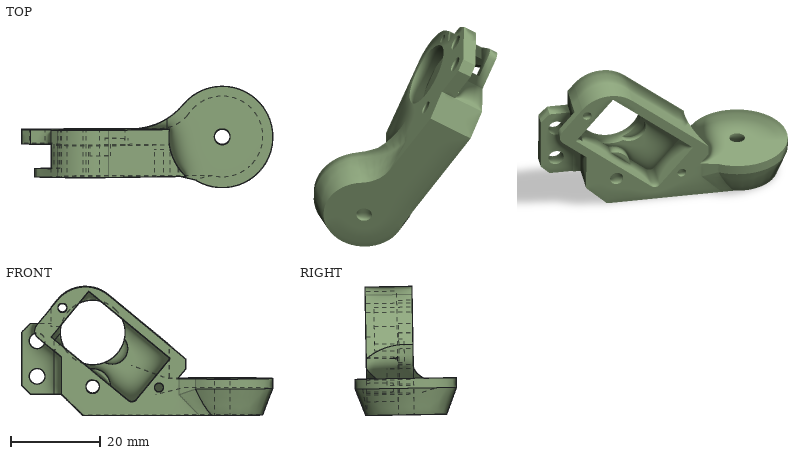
import cadquery as cq
import math


disc_radius = 11.4
disc_top = 8.22
rim_height = 2.22
disc_base_radius = 9.1
disc_bore_dia = 3.5
clearance_radius = 12.0

back_y = 1.8
front_y = -8.8
base_left_x = -36.05
base_corner_z = 4.65
base_chamfer = 4.75
base_right_x = -9.7
base_left_top_z = 13.1

servo_angle = 39.5
pocket_end_x = -34.2
pocket_end_z = 22.75
pocket_length = 23.7
pocket_width = 13.25
pocket_depth = 7.1
pocket_corner_radius = 1.3
flange_start_u = -4.2
flange_end_u = 27.87
flange_low_v = -8.65
flange_high_v = 8.8
top_corner_radius = 8.1
low_corner_radius = 2.0
flange_thickness = 1.95

screw_dia = 2.0
screw_offset = 2.2
blind_screw_depth = 6.0
shaft_hole_dia = 14.5
gear_recess_radius = 3.5
gear_recess_u = 12.3
gear_recess_depth = 1.5

boss_x = -29.1
boss_z = 6.45
boss_radius = 4.0
boss_height = 2.5
boss_hole_dia = 3.0

plate_left_x = -45.08
plate_top_z = 20.55
plate_thickness = 3.2
plate_front_y = back_y - plate_thickness
plate_chamfer = 2.0
plate_hole_dia = 3.5
plate_hole_x = -41.58
plate_hole_z = (8.68, 16.65)
strip_left_x = -37.75
strip_thickness = 0.3
strip_end_u = 1.1

slot_wall_x = -38.43
slot_roof_z = 19.95
slot_end_u = 2.55
slot_clearance = 0.01

back_blend_radius = 15.0
back_foot_radius = 8.0
back_blend_top_z = 11.1
back_blend_slope = 20.0
back_blend_low_z = 3.3
front_blend_low_z = 4.7
front_blend_tangent_x = -6.0
front_blend_foot_x = -5.1
front_blend_end_x = -2.3

part_tilt = 1.0
reach = 60.0
overlap = 1.0

cos_a = math.cos(math.radians(servo_angle))
sin_a = math.sin(math.radians(servo_angle))


def servo_point(u, v):
    """X, Z of a point given along (u) and across (v) the tilted servo."""
    return (pocket_end_x + u * cos_a + v * sin_a, pocket_end_z - u * sin_a + v * cos_a)


def profile_xz(points, y_start, y_end):
    """Solid with an X-Z outline between two Y positions."""
    plane = cq.Workplane("XZ", origin=(0, y_end, 0))
    return plane.polyline(points).close().extrude(y_end - y_start)


def rod_y(x, z, radius, y_start, y_end):
    """Cylinder along Y."""
    plane = cq.Workplane("XZ", origin=(0, y_end, 0))
    return plane.center(x, z).circle(radius).extrude(y_end - y_start)


def servo_block(u_start, u_end, v_low, v_high, y_start, y_end):
    """Box aligned with the tilted servo."""
    corners = [(u_start, v_low), (u_end, v_low), (u_end, v_high), (u_start, v_high)]
    return profile_xz([servo_point(u, v) for u, v in corners], y_start, y_end)


def edge_at(u, v):
    """Selector for the Y-parallel edge nearest a servo-frame point."""
    x, z = servo_point(u, v)
    return cq.selectors.NearestToPointSelector((x, (front_y + back_y) / 2, z))


def blend_arc(disc_r, blend_r):
    """Start, middle and end (X, Y) of an arc joining the back face to a disc of radius disc_r."""
    centre_y = back_y + blend_r
    start_x = -math.sqrt((disc_r + blend_r) ** 2 - centre_y**2)
    share = disc_r / (disc_r + blend_r)
    half_turn = math.atan2(-start_x, centre_y) / 2
    middle = (start_x + blend_r * math.sin(half_turn), centre_y - blend_r * math.cos(half_turn))
    return (start_x, back_y), middle, (start_x * share, centre_y * share)


def blend_outline(start, middle, end, inner):
    """Closed wire from start to end (an arc when middle is given) and back by an inner point."""
    points = [cq.Vector(*p) for p in (start, end, inner)]
    if middle:
        outer = cq.Edge.makeThreePointArc(points[0], cq.Vector(*middle), points[1])
    else:
        outer = cq.Edge.makeLine(points[0], points[1])
    sides = [cq.Edge.makeLine(points[1], points[2]), cq.Edge.makeLine(points[2], points[0])]
    return cq.Wire.assembleEdges([outer, *sides])


def make_blend(rim, foot, low_z, top_z):
    """Upright wall above a sloping rim, with a tapered side from the rim down to the foot.

    rim and foot each hold the start, middle (or None), end and inner (X, Y) points. The rim
    climbs along X from low_z at its start to the bottom of the disc rim at its end.
    """
    slope = (disc_top - rim_height - low_z) / (rim[2][0] - rim[0][0])

    def on_rim(point):
        return point and (*point, low_z + slope * (point[0] - rim[0][0]))

    def on_floor(point):
        return point and (*point, 0)

    rim_wire = blend_outline(*[on_rim(p) for p in rim])
    foot_wire = blend_outline(*[on_floor(p) for p in foot])
    skirt = cq.Workplane(cq.Solid.makeLoft([foot_wire, rim_wire], True))
    rim_face = cq.Face.makeFromWires(rim_wire)
    wall = cq.Workplane(cq.Solid.extrudeLinear(rim_face, cq.Vector(0, 0, reach)))
    above = cq.Workplane("XY", origin=(0, 0, top_z)).rect(2 * reach, 2 * reach).extrude(2 * reach)
    return skirt.union(wall.cut(above))


def make_disc():
    side = [
        (0, 0),
        (disc_base_radius, 0),
        (disc_radius, disc_top - rim_height),
        (disc_radius, disc_top),
        (0, disc_top),
    ]
    return cq.Workplane("XZ").polyline(side).close().revolve(360, (0, 0, 0), (0, 1, 0))


def make_body():
    frame = servo_block(flange_start_u, flange_end_u, flange_low_v, flange_high_v, front_y, back_y)
    frame = frame.edges(edge_at(flange_start_u, flange_high_v)).fillet(top_corner_radius)
    frame = frame.edges(edge_at(flange_start_u, flange_low_v)).fillet(low_corner_radius)
    base = profile_xz(
        [
            (base_left_x, base_left_top_z),
            (base_left_x, base_corner_z),
            (base_left_x + base_chamfer, 0),
            (front_blend_end_x, 0),
            (front_blend_end_x, disc_top),
            (base_right_x, disc_top),
            servo_point(pocket_length / 2, 0),
        ],
        front_y,
        back_y,
    )
    clearance = cq.Workplane("XY", origin=(0, 0, disc_top)).circle(clearance_radius).extrude(reach)
    below_base = cq.Workplane("XY").rect(2 * reach, 2 * reach).extrude(-reach)
    return frame.union(base).cut(clearance).cut(below_base)


def make_back_blend():
    rim_arc = blend_arc(disc_radius, back_blend_radius)
    foot_arc = blend_arc(disc_base_radius, back_foot_radius)
    start_x = rim_arc[0][0]
    blend = make_blend(
        (*rim_arc, (rim_arc[2][0], 0)), (*foot_arc, (foot_arc[2][0], 0)), back_blend_low_z, back_blend_top_z
    )
    slope_run = (back_blend_top_z - disc_top) / math.tan(math.radians(back_blend_slope))
    roof = (
        cq.Workplane("XZ")
        .polyline(
            [
                (start_x, back_blend_top_z),
                (start_x + slope_run, disc_top),
                (0, disc_top),
                (0, back_blend_top_z),
            ]
        )
        .close()
        .extrude(reach, both=True)
    )
    return blend.cut(roof)


def make_front_blend():
    tangent = (front_blend_tangent_x, -math.sqrt(disc_radius**2 - front_blend_tangent_x**2))
    rim = ((base_right_x, front_y), None, tangent, (front_blend_tangent_x, front_y / 2))
    foot = (
        (front_blend_foot_x, front_y),
        None,
        (front_blend_end_x, front_y),
        (front_blend_end_x, front_y / 2),
    )
    return make_blend(rim, foot, front_blend_low_z, disc_top)


def make_plate():
    plate_right_x = base_left_x + overlap
    plate = profile_xz(
        [
            (plate_right_x, plate_top_z),
            (plate_left_x + plate_chamfer, plate_top_z),
            (plate_left_x, plate_top_z - plate_chamfer),
            (plate_left_x, base_corner_z + plate_chamfer),
            (plate_left_x + plate_chamfer, base_corner_z),
            (plate_right_x, base_corner_z),
        ],
        plate_front_y,
        back_y,
    )
    bend_v = (strip_left_x - pocket_end_x - strip_end_u * cos_a) / sin_a
    strip = profile_xz(
        [
            (strip_left_x, base_corner_z),
            (plate_right_x, base_corner_z),
            servo_point(slot_end_u, -pocket_width / 2),
            servo_point(slot_end_u, 0),
            servo_point(strip_end_u, 0),
            servo_point(strip_end_u, bend_v),
        ],
        plate_front_y - strip_thickness,
        plate_front_y,
    )
    plate = plate.union(strip)
    for z in plate_hole_z:
        plate = plate.cut(rod_y(plate_hole_x, z, plate_hole_dia / 2, plate_front_y, back_y))
    return plate


def make_pocket():
    floor_y = front_y + pocket_depth
    half = pocket_width / 2
    pocket = servo_block(0, pocket_length, -half, half, front_y, floor_y)
    pocket = pocket.edges(edge_at(pocket_length, -half)).fillet(pocket_corner_radius)
    boss = rod_y(boss_x, boss_z, boss_radius, floor_y - boss_height, floor_y)
    return pocket.cut(boss)


def make_slot():
    left_x = 2 * plate_left_x
    slot_front_y = front_y + flange_thickness
    side_opening = profile_xz(
        [
            (left_x, reach),
            (slot_wall_x, reach),
            (slot_wall_x, base_left_top_z),
            (left_x, base_left_top_z),
        ],
        slot_front_y,
        back_y,
    )
    passage = profile_xz(
        [
            (slot_wall_x, slot_roof_z),
            (pocket_end_x, slot_roof_z),
            servo_point(slot_end_u, overlap - pocket_width / 2),
            servo_point(slot_end_u, flange_low_v - slot_clearance),
            (slot_wall_x, base_left_top_z),
        ],
        slot_front_y,
        plate_front_y,
    )
    return side_opening.union(passage)


def make_servo_holes():
    floor_y = front_y + pocket_depth
    holes = rod_y(*servo_point(pocket_width / 2, 0), shaft_hole_dia / 2, floor_y, back_y)
    recess = rod_y(*servo_point(gear_recess_u, 0), gear_recess_radius, floor_y, floor_y + gear_recess_depth)
    start_screw = rod_y(*servo_point(-screw_offset, 0), screw_dia / 2, front_y, back_y)
    end_screw = rod_y(
        *servo_point(pocket_length + screw_offset, 0), screw_dia / 2, front_y, front_y + blind_screw_depth
    )
    boss_hole = rod_y(boss_x, boss_z, boss_hole_dia / 2, front_y, back_y)
    return holes.union(recess).union(start_screw).union(end_screw).union(boss_hole)


bore = cq.Workplane("XY").circle(disc_bore_dia / 2).extrude(disc_top)
body = make_body().cut(make_slot()).union(make_plate()).cut(make_pocket()).cut(make_servo_holes())
part = body.union(make_disc()).union(make_back_blend()).union(make_front_blend()).cut(bore)
result = part.rotate((0, 0, 0), (1, 0, 0), part_tilt)